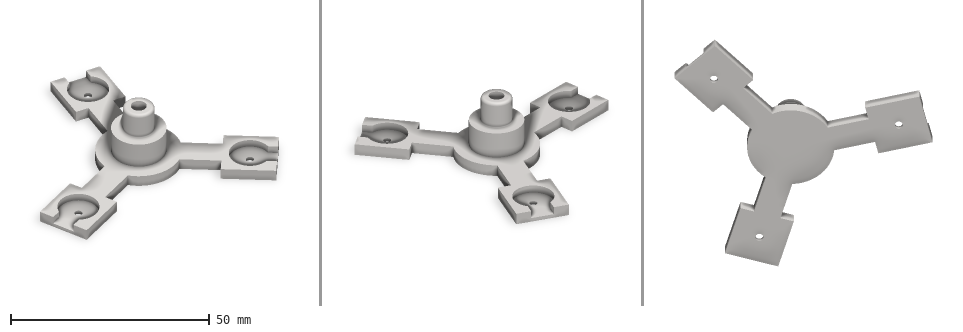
import cadquery as cq
import math

arm_count = 3
arm_step = 360 / arm_count
overall_width = 67.75

plate_thickness = 3.05
hub_diameter = 22.0
arm_width = 7.0
pad_size = 14.0

slant = math.radians(180 - arm_step)
tip_reach = (overall_width / 2 - pad_size / 2 * math.cos(slant)) / math.sin(slant)
pad_center = tip_reach - pad_size / 2

pocket_diameter = 10.65
pocket_depth = 2.0
slot_width = 6.0
pad_hole_diameter = 2.0

boss_diameter = 14.0
boss_height = 7.0
pin_diameter = 8.0
pin_height = 7.0
pin_top_fillet = 0.8
pin_bore_diameter = 4.0
boss_top = plate_thickness + boss_height

pin_root_fillet = 0.3


def centered_box(length, width, height, center_x, base_z):
    return (
        cq.Workplane("XY", origin=(center_x, 0, base_z))
        .box(length, width, height, centered=(True, True, False))
    )


def cylinder(diameter, height, center_x, base_z):
    return (
        cq.Workplane("XY", origin=(center_x, 0, base_z))
        .circle(diameter / 2)
        .extrude(height)
    )


def make_arm():
    """Arm along -X, from the hub axis to the tip of its pad."""
    strip = centered_box(pad_center, arm_width, plate_thickness, -pad_center / 2, 0)
    pad = centered_box(pad_size, pad_size, plate_thickness, -pad_center, 0)
    return strip.union(pad)


def make_arm_cut():
    """Round pocket, slot out through the tip, and pad hole."""
    floor = plate_thickness - pocket_depth
    slot_length = tip_reach - pad_center
    slot_center = -(tip_reach + pad_center) / 2
    pocket = cylinder(pocket_diameter, pocket_depth, -pad_center, floor)
    slot = centered_box(slot_length, slot_width, pocket_depth, slot_center, floor)
    hole = cylinder(pad_hole_diameter, plate_thickness, -pad_center, 0)
    return pocket.union(slot).union(hole)


def make_post():
    """Boss and pin, with the pin rounded at its top and root."""
    boss = cylinder(boss_diameter, boss_top, 0, 0)
    pin = cylinder(pin_diameter, pin_height, 0, boss_top)
    pin = pin.faces(">Z").edges().fillet(pin_top_fillet)
    shoulder = boss.union(pin).faces(cq.selectors.NearestToPointSelector((0, 0, boss_top)))
    return shoulder.edges(cq.selectors.RadiusNthSelector(0)).fillet(pin_root_fillet)


result = cylinder(hub_diameter, plate_thickness, 0, 0)
for index in range(arm_count):
    turn = index * arm_step
    result = result.union(make_arm().rotate((0, 0, 0), (0, 0, 1), turn))
    result = result.cut(make_arm_cut().rotate((0, 0, 0), (0, 0, 1), turn))

result = result.union(make_post())
result = result.cut(cylinder(pin_bore_diameter, pin_height, 0, boss_top))